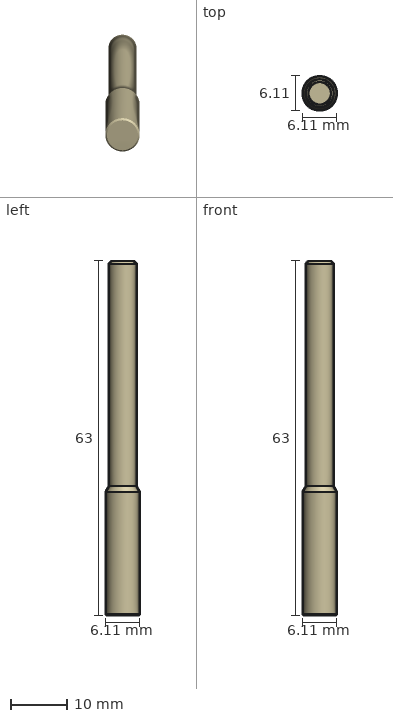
import cadquery as cq
import math

total_length = 63.0
shank_length = 40.0
shank_diameter = 5.0
head_diameter = 6.11
head_length = total_length - shank_length

shank_end_chamfer = 0.5
head_bottom_chamfer = 0.3

shoulder_height = 1.0
shoulder_angle = 30.0
shoulder_width = shoulder_height * math.tan(math.radians(shoulder_angle))


def make_head():
    """Thick lower cylinder; its shoulder cone ends just narrower than the shank."""
    return (
        cq.Workplane("XY")
        .circle(head_diameter / 2)
        .extrude(head_length)
        .faces("<Z")
        .chamfer(head_bottom_chamfer)
        .faces(">Z")
        .chamfer(shoulder_height, shoulder_width)
    )


def make_shank():
    """Slender cylinder standing on the head, with a chamfered free end."""
    return (
        cq.Workplane("XY", origin=(0, 0, head_length))
        .circle(shank_diameter / 2)
        .extrude(shank_length)
        .faces(">Z")
        .chamfer(shank_end_chamfer)
    )


head = make_head()
shank = make_shank()

result = cq.Compound.makeCompound([head.val(), shank.val()])